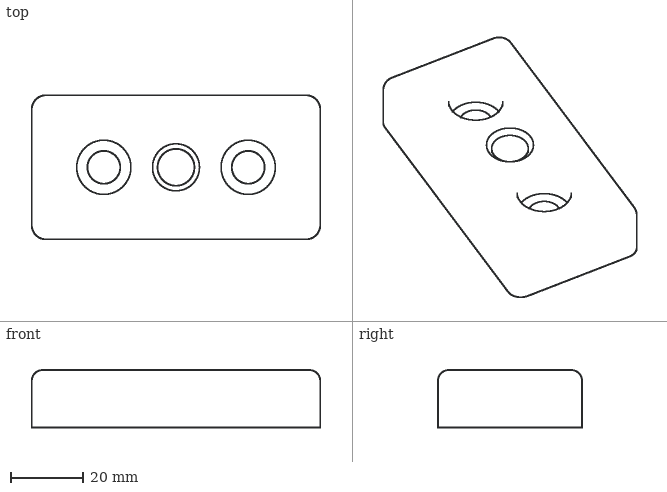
import cadquery as cq

length = 80.0
width = length / 2
height = length / 5
corner_radius = 4.0
top_edge_radius = 3.0

hole_spacing = length / 4

bolt_hole_diameter = 9.0
counterbore_diameter = 15.0
counterbore_depth = 9.0
counterbore_rim_radius = 1.0

middle_hole_diameter = 10.2
middle_chamfer = 1.4


def rounded_block():
    """Block standing on Z = 0 with rounded upright corners and top edges."""
    return (
        cq.Workplane("XY")
        .box(length, width, height, centered=(True, True, False))
        .edges("|Z")
        .fillet(corner_radius)
        .faces(">Z")
        .edges()
        .fillet(top_edge_radius)
    )


def counterbored_hole_cutter(x):
    """Bolt hole and counterbore at x, widening at the top to round the rim."""
    bolt_radius = bolt_hole_diameter / 2
    bore_radius = counterbore_diameter / 2
    rim_radius = bore_radius + counterbore_rim_radius
    rim_start = height - counterbore_rim_radius
    floor = height - counterbore_depth
    profile = (
        cq.Workplane("XZ")
        .lineTo(bolt_radius, 0)
        .lineTo(bolt_radius, floor)
        .lineTo(bore_radius, floor)
        .lineTo(bore_radius, rim_start)
        .radiusArc((rim_radius, height), counterbore_rim_radius)
        .lineTo(0, height)
        .close()
    )
    return profile.revolve(360, (0, 0), (0, 1)).translate((x, 0, 0))


def middle_hole_cutter():
    """Through hole at the centre, opening to a cone at the top."""
    hole_radius = middle_hole_diameter / 2
    profile = (
        cq.Workplane("XZ")
        .lineTo(hole_radius, 0)
        .lineTo(hole_radius, height - middle_chamfer)
        .lineTo(hole_radius + middle_chamfer, height)
        .lineTo(0, height)
        .close()
    )
    return profile.revolve(360, (0, 0), (0, 1))


result = rounded_block().cut(middle_hole_cutter())
for hole_x in (-hole_spacing, hole_spacing):
    result = result.cut(counterbored_hole_cutter(hole_x))